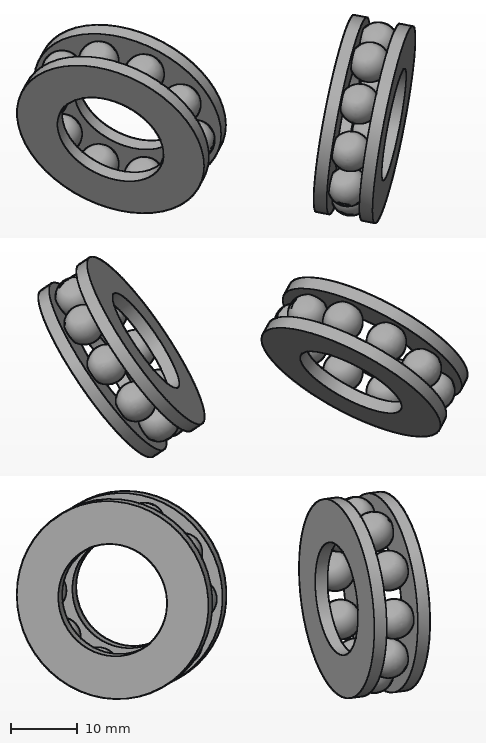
import cadquery as cq

outer_diameter = 30.0
bore_diameter = 17.0
total_width = 9.0
washer_thickness = 2.0
ball_diameter = 6.0
ball_count = 10

pitch_radius = (outer_diameter + bore_diameter) / 4
inner_face = total_width / 2 - washer_thickness


def make_washer(side):
    """Washer whose inner face is at Y = side * inner_face, growing away from the balls."""
    return (
        cq.Workplane("XZ", origin=(0, side * inner_face, 0))
        .circle(outer_diameter / 2)
        .circle(bore_diameter / 2)
        .extrude(-side * washer_thickness)
    )


def make_ball(angle):
    """Ball on the pitch circle; it sinks slightly into both washers."""
    ball = cq.Workplane("XY").sphere(ball_diameter / 2).translate((pitch_radius, 0, 0))
    return ball.rotate((0, 0, 0), (0, 1, 0), angle)


result = make_washer(-1).union(make_washer(1))
for index in range(ball_count):
    result = result.union(make_ball(index * 360 / ball_count))